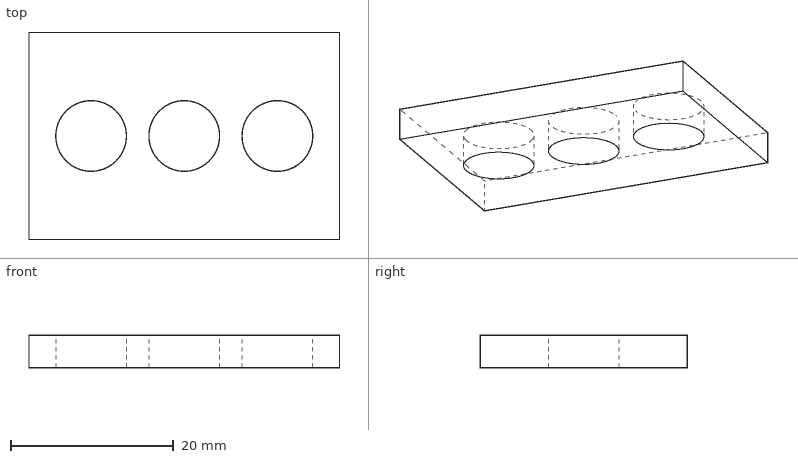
import cadquery as cq

length = 38.1
width = 25.4
thickness = 4.0

hole_diameter = 8.65
hole_spacing = 11.43
hole_count = 3

plate = cq.Workplane("XY").box(length, width, thickness)

result = (
    plate.faces(">Z")
    .workplane()
    .rarray(hole_spacing, 0.4, hole_count, 1)
    .hole(hole_diameter)
)